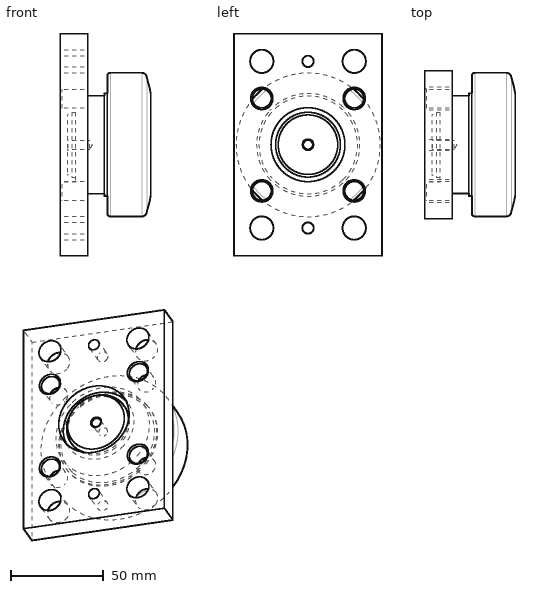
import cadquery as cq
import math

plate_thickness = 15.0
plate_width = 80.0
plate_height = 120.0

hole_half_pitch_y = 25.0
bolt_half_pitch_z = 45.0
bolt_diameter = 12.5
dowel_diameter = 6.0
tapped_half_pitch_z = 25.0
tapped_diameter = 10.2
tapped_mouth_diameter = 12.0
countersink_angle = 90.0

recess_diameter = 40.0
recess_depth = 8.0
axle_end_diameter = 35.0
axle_end_setback = 3.7
axle_end_chamfer_length = 2.5
axle_end_chamfer_inset = 1.5

centre_hole_diameter = 5.0
centre_hole_mouth_diameter = 6.0
centre_hole_depth = 12.0
drill_tip_angle = 118.0

neck_radius = 26.5
neck_end = 23.9
collar_radius = 27.8
roller_start = 25.5
roller_end = 49.0
roller_radius = 38.9
inner_fillet = 1.7

shoulder_start = 44.0
shoulder_end = 46.7
shoulder_end_radius = 37.0
crown_flat_radius = 27.6

overlap = 1.2


def turned(profile):
    """Solid of revolution about the X axis; profile radii run along Y."""
    return profile.close().revolve(360, (0, 0, 0), (1, 0, 0))


def through_holes(points, diameter):
    """Cylinders that pass through the plate at the given (Y, Z) points."""
    return cq.Workplane("YZ").pushPoints(points).circle(diameter / 2).extrude(plate_thickness)


def corners(half_y, half_z):
    """The four (Y, Z) corners of a rectangle centred on the plate."""
    return [(y, z) for y in (-half_y, half_y) for z in (-half_z, half_z)]


def make_plate():
    """Plate with bolt, dowel and countersunk tapped holes, before the recess is cut."""
    plate = cq.Workplane("XY").box(
        plate_thickness, plate_width, plate_height, centered=(False, True, True)
    )
    bolt_points = corners(hole_half_pitch_y, bolt_half_pitch_z)
    dowel_points = [(0, -bolt_half_pitch_z), (0, bolt_half_pitch_z)]
    tapped_points = corners(hole_half_pitch_y, tapped_half_pitch_z)
    plate = plate.cut(through_holes(bolt_points, bolt_diameter))
    plate = plate.cut(through_holes(dowel_points, dowel_diameter))
    return (
        plate.faces("<X")
        .workplane(origin=(0, 0, 0))
        .pushPoints(tapped_points)
        .cskHole(tapped_diameter, tapped_mouth_diameter, countersink_angle)
    )


def make_roller():
    """Neck, collar and rounded roller on the front face of the plate."""
    fillet_centre = (roller_start + inner_fillet, roller_radius - inner_fillet)
    fillet_leg = inner_fillet * math.sqrt(0.5)
    profile = (
        cq.Workplane("XY")
        .moveTo(plate_thickness - overlap, 0)
        .lineTo(plate_thickness - overlap, neck_radius)
        .lineTo(neck_end, neck_radius)
        .lineTo(neck_end, collar_radius)
        .lineTo(roller_start, collar_radius)
        .lineTo(roller_start, fillet_centre[1])
        .threePointArc(
            (fillet_centre[0] - fillet_leg, fillet_centre[1] + fillet_leg),
            (fillet_centre[0], roller_radius),
        )
        .lineTo(shoulder_start, roller_radius)
        .tangentArcPoint((shoulder_end, shoulder_end_radius), relative=False)
        .tangentArcPoint((roller_end, crown_flat_radius), relative=False)
        .lineTo(roller_end, 0)
    )
    return turned(profile)


def make_axle_end():
    """Round end of the axle, with a steep cone around its face."""
    radius = axle_end_diameter / 2
    profile = (
        cq.Workplane("XY")
        .moveTo(axle_end_setback, 0)
        .lineTo(axle_end_setback, radius - axle_end_chamfer_inset)
        .lineTo(axle_end_setback + axle_end_chamfer_length, radius)
        .lineTo(recess_depth + overlap, radius)
        .lineTo(recess_depth + overlap, 0)
    )
    return turned(profile)


def make_centre_hole():
    """Drilled hole with a countersunk mouth and a conical bottom."""
    radius = centre_hole_diameter / 2
    mouth_radius = centre_hole_mouth_diameter / 2
    mouth_depth = (mouth_radius - radius) / math.tan(math.radians(countersink_angle / 2))
    mouth_end = axle_end_setback + mouth_depth
    straight_end = axle_end_setback + centre_hole_depth
    tip = straight_end + radius / math.tan(math.radians(drill_tip_angle / 2))
    profile = (
        cq.Workplane("XY")
        .moveTo(axle_end_setback, 0)
        .lineTo(axle_end_setback, mouth_radius)
        .lineTo(mouth_end, radius)
        .lineTo(straight_end, radius)
        .lineTo(tip, 0)
    )
    return turned(profile)


recess = cq.Workplane("YZ").circle(recess_diameter / 2).extrude(recess_depth)
result = (
    make_plate()
    .cut(recess)
    .union(make_axle_end())
    .union(make_roller())
    .cut(make_centre_hole())
)